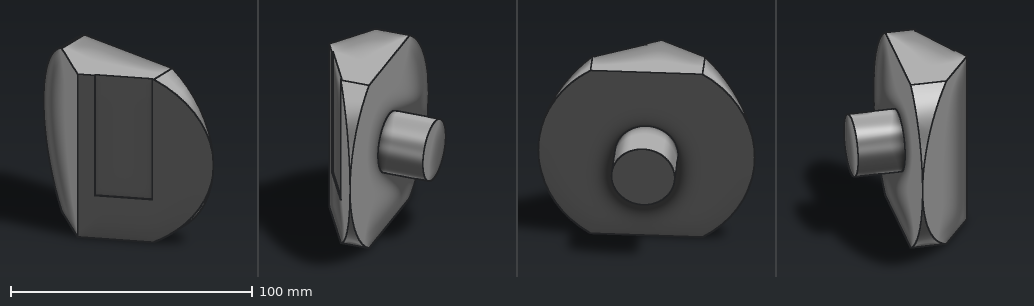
import cadquery as cq
import math

head_diameter = 90.0
head_height = 77.0
left_slope = 35.0
right_slope = 30.0
left_tan = math.tan(math.radians(left_slope))
right_tan = math.tan(math.radians(right_slope))
ridge_depth = head_diameter / (1 / left_tan + 1 / right_tan)
ridge_x = -head_diameter / 2 + ridge_depth / left_tan

stem_diameter = 26.3
stem_length = 20.0

slot_start_x = 2.0
slot_end_x = 22.7
slot_bottom_z = -18.4
slot_depth = 0.5


def make_head():
    """Triangular prism trimmed by the round footprint."""
    prism = (
        cq.Workplane("XY", origin=(0, 0, -head_height / 2))
        .moveTo(-head_diameter / 2, 0)
        .lineTo(ridge_x, -ridge_depth)
        .lineTo(head_diameter / 2, 0)
        .close()
        .extrude(head_height)
    )
    disc = cq.Workplane("XZ").circle(head_diameter / 2).extrude(ridge_depth)
    return prism.intersect(disc)


def make_stem():
    return cq.Workplane("XZ").circle(stem_diameter / 2).extrude(-stem_length)


def right_slope_y(x):
    return (x - head_diameter / 2) * right_tan


def make_slot():
    """Box lying along the right slope, sunk square to its surface."""
    slope_direction = (math.cos(math.radians(right_slope)), math.sin(math.radians(right_slope)), 0)
    start = (slot_start_x, right_slope_y(slot_start_x), slot_bottom_z)
    slope_plane = cq.Plane(origin=start, xDir=slope_direction, normal=(0, 0, 1))
    slot_length = (slot_end_x - slot_start_x) / slope_direction[0]
    return (
        cq.Workplane(slope_plane)
        .rect(slot_length, slot_depth, centered=False)
        .extrude(head_height / 2 - slot_bottom_z)
    )


result = make_head().union(make_stem()).cut(make_slot())